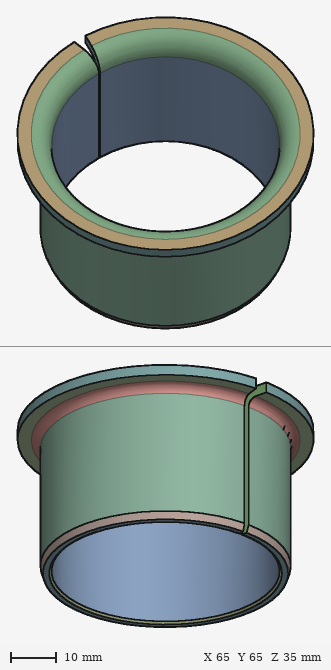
import cadquery as cq

flange_radius = 32.5
body_radius = 27.5
wall = 2.5
height = 35.0
bore_radius = body_radius - wall
flange_bottom = height - wall

inner_bend = 4.5
outer_bend = inner_bend - wall

chamfer_height = 1.75
chamfer_width = 0.6

bore_chamfer = 0.5

slit_outer_width = 3.0
slit_inner_width = 0.3
slit_overrun = 0.65


def make_bush():
    """Revolve the wall section, bends included, around Z."""
    diagonal = 0.5 ** 0.5
    bend_x = body_radius + outer_bend
    bend_z = flange_bottom - outer_bend
    outer_mid = (bend_x - outer_bend * diagonal, bend_z + outer_bend * diagonal)
    inner_mid = (bend_x - inner_bend * diagonal, bend_z + inner_bend * diagonal)
    section = (
        cq.Workplane("XZ")
        .moveTo(bore_radius + bore_chamfer, 0)
        .lineTo(body_radius - chamfer_width, 0)
        .lineTo(body_radius, chamfer_height)
        .lineTo(body_radius, bend_z)
        .threePointArc(outer_mid, (bend_x, flange_bottom))
        .lineTo(flange_radius, flange_bottom)
        .lineTo(flange_radius, height)
        .lineTo(bend_x, height)
        .threePointArc(inner_mid, (bore_radius, bend_z))
        .lineTo(bore_radius, bore_chamfer)
        .close()
    )
    bush = section.revolve(360, (0, 0, 0), (0, 1, 0))
    return bush.rotate((0, 0, 0), (0, 0, 1), 180)


def make_slit():
    """Full-height wedge, its sides extended past both wall faces."""
    half_slope = (slit_outer_width - slit_inner_width) / 2 / (flange_radius - bore_radius)
    tip_radius = bore_radius - slit_inner_width / 2 / half_slope
    outer_radius = flange_radius + slit_overrun
    half_width = (outer_radius - tip_radius) * half_slope
    corners = [(-tip_radius, 0), (-outer_radius, half_width), (-outer_radius, -half_width)]
    return cq.Workplane("XY").polyline(corners).close().extrude(height)


result = make_bush().cut(make_slit())